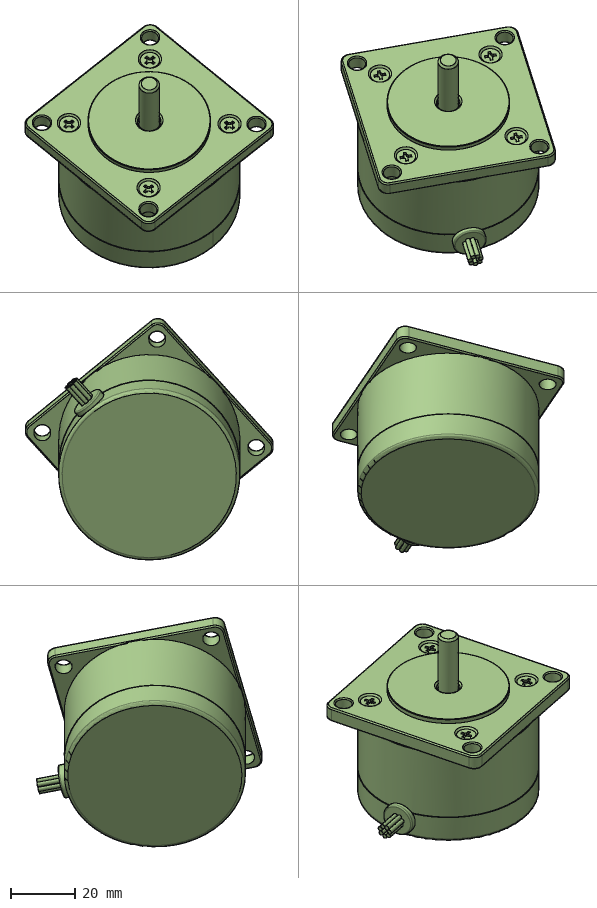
import cadquery as cq
import math

body_diameter = 56.4
body_height = 33.15
cap_height = 9.15
base_fillet = 1.1
cap_chamfer = 0.1

flange_side = body_diameter
flange_thickness = 4.9
flange_top = body_height + flange_thickness
flange_corner_radius = 3.0
flange_chamfer = 0.45

pilot_diameter = 38.1
pilot_height = 1.6
pilot_top = flange_top + pilot_height
pilot_chamfer = 0.2
bore_diameter = 7.3
bore_chamfer = 0.6
bore_depth = 1.95

shaft_diameter = 6.35
shaft_end = 58.65
shaft_chamfer = 0.7

mount_pitch = 47.15
mount_diameter = 5.2
mount_chamfer = 0.4

screw_pitch = 35.3
screw_head_diameter = 6.0
screw_chamfer = 0.6
cross_length = 3.5
cross_width = 0.8
cross_corner_cut = 0.45
cross_depth = 1.0

grommet_diameter = 10.45
grommet_z = 6.1
grommet_face_y = 29.75
grommet_fillet = 0.45
lead_count = 7
lead_radius = 0.7
lead_ring_radius = 1.73
overall_length_y = 65.4
lead_end_y = overall_length_y - body_diameter / 2


def disc(diameter, bottom, top):
    """Vertical cylinder on the motor axis between two heights."""
    return cq.Workplane("XY").workplane(offset=bottom).circle(diameter / 2).extrude(top - bottom)


def at_square_corners(tool, pitch):
    """Copies of a tool at the four corners of a centred square."""
    half = pitch / 2
    corners = [(x, y) for x in (-half, half) for y in (-half, half)]
    copies = cq.Workplane("XY")
    for x, y in corners:
        copies = copies.add(tool.translate((x, y, 0)))
    return copies.combine()


def countersink(diameter, chamfer, top):
    """Cone that flares from a hole's diameter to its chamfered mouth at the given height."""
    mouth = cq.Workplane("XY").workplane(offset=top).circle(diameter / 2 + chamfer)
    return mouth.workplane(offset=-chamfer).circle(diameter / 2).loft()


def make_body():
    cap = disc(body_diameter, 0, cap_height)
    cap = cap.faces("<Z").edges().fillet(base_fillet)
    cap = cap.faces(">Z").edges().chamfer(cap_chamfer)
    can = disc(body_diameter, cap_height, body_height)
    return cap.union(can)


def make_flange():
    flange = cq.Workplane("XY").workplane(offset=body_height).rect(flange_side, flange_side)
    flange = flange.extrude(flange_thickness).edges("|Z").fillet(flange_corner_radius)
    return flange.faces("<Z or >Z").edges().chamfer(flange_chamfer)


def make_pilot():
    return disc(pilot_diameter, flange_top, pilot_top).faces(">Z").edges().chamfer(pilot_chamfer)


def make_bore():
    bore = disc(bore_diameter, pilot_top - bore_depth, pilot_top)
    return bore.union(countersink(bore_diameter, bore_chamfer, pilot_top))


def make_shaft():
    return disc(shaft_diameter, pilot_top - bore_depth, shaft_end).faces(">Z").edges().chamfer(shaft_chamfer)


def make_mount_holes():
    hole = disc(mount_diameter, 0, flange_top)
    hole = hole.union(countersink(mount_diameter, mount_chamfer, flange_top))
    return at_square_corners(hole, mount_pitch)


def make_screw_recesses():
    floor = flange_top - screw_chamfer
    cross = cq.Workplane("XY").workplane(offset=floor - cross_depth)
    along_x = cross.rect(cross_length, cross_width).extrude(cross_depth)
    along_y = cross.rect(cross_width, cross_length).extrude(cross_depth)
    core_radius = cross_width + cross_corner_cut
    core = cross.polygon(4, 2 * core_radius).extrude(cross_depth)
    cone = countersink(screw_head_diameter, screw_chamfer, flange_top)
    return at_square_corners(cone.union(along_x).union(along_y).union(core), screw_pitch)


def rod_along_y(radius, x, z, end_y):
    """Cylinder from the motor axis outwards to the given Y."""
    centre = cq.Workplane("XZ").center(x, z)
    return centre.circle(radius).extrude(-end_y)


def make_cable_outlet():
    outlet = rod_along_y(grommet_diameter / 2, 0, grommet_z, grommet_face_y)
    outlet = outlet.faces(">Y").edges().fillet(grommet_fillet)
    for i in range(lead_count):
        angle = 2 * math.pi * (i + 0.5) / lead_count
        x = lead_ring_radius * math.sin(angle)
        z = grommet_z + lead_ring_radius * math.cos(angle)
        outlet = outlet.union(rod_along_y(lead_radius, x, z, lead_end_y))
    return outlet


housing = make_body().union(make_flange())
housing = housing.cut(make_mount_holes()).cut(make_screw_recesses())
housing = housing.union(make_pilot()).cut(make_bore())
result = housing.union(make_shaft()).union(make_cable_outlet())